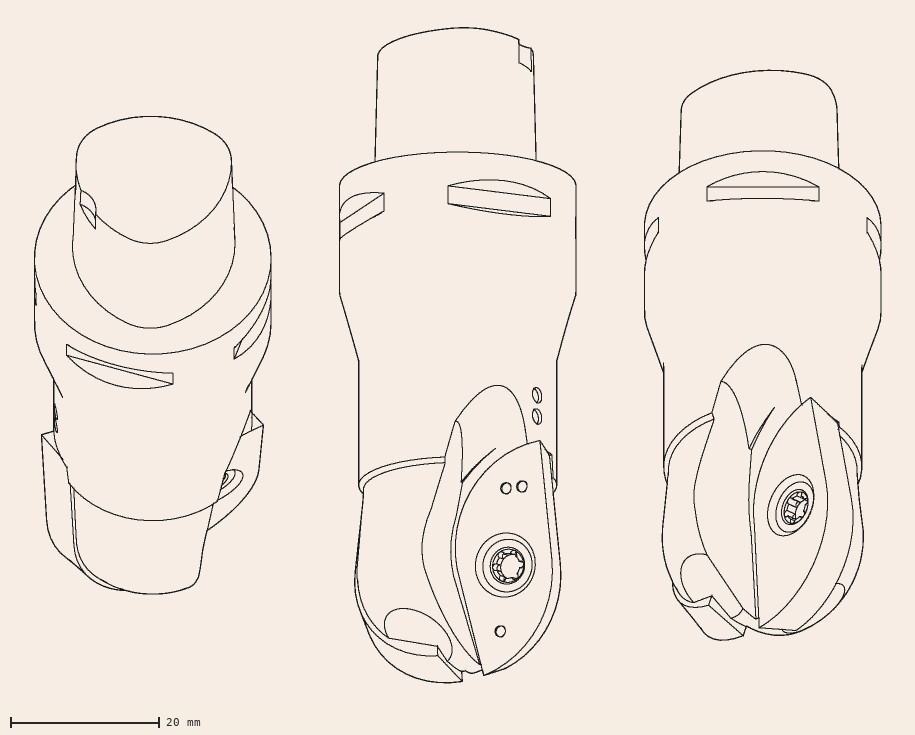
import cadquery as cq
import math


shank_length = 19.0
shank_taper = math.degrees(math.atan(1 / 40))
side_radius = 10.4
lobe_radius = 11.7
lobe_arc_radius = 6.2
keyway_diameter = 7.15
keyway_depth = 3.3
keyway_floor_radius = 9.0

flange_radius = 32.0 / 2
flange_height = 15.0
neck_radius = 26.8 / 2
cone_end_z = -24.5
neck_end_z = -42.2
step_z = -42.8
nose_start_z = -43.3
nose_start_radius = 12.75
ball_start_z = -53.87
ball_start_radius = 13.6
ball_middle = (10.2, -63.6)
nose_end_z = -68.5

groove_count = 4
groove_start_angle = 45.0
groove_z = -6.0
groove_floor_width = 2.5
groove_floor_radius = 14.1
groove_wall_angle = 30.0

tip_z = -69.98
rake_angle = 10.0
insert_thickness = 6.1
flank_angle = 10.5
cutting_radius = 14.75
ball_middle_angle = -45.0
cutting_arc_top = (14.72, 15.3)
pocket_clearance = 0.5

outer_insert_top = (14.1, 31.5)
outer_insert_arc_middle = (4.2, 26.4)
outer_insert_arc_start = (0.95, 15.5)
outer_insert_tip = 3.8
centre_insert_top = (14.2, 29.2)
centre_insert_arc_middle = (5.0, 25.0)
centre_insert_arc_start = (1.1, 15.5)
centre_insert_tip = -0.67

screw_position = (7.95, 15.15)
recess_diameter = 8.7
screw_head_diameter = 7.15
recess_depth = 0.8
socket_mouth_diameter = 5.0
socket_mouth_depth = 0.25
socket_diameter = 4.5
socket_lobes = 6
socket_lobe_diameter = 0.9
socket_core_diameter = 3.4
socket_depth = 1.6
drill_point_depth = 0.9

insert_dot_diameter = 1.5
insert_dot_depth = 0.4
insert_dots = [(8.75, 25.55), (11.07, 25.55), (6.6, 6.25)]
neck_dot_diameter = 2.1
neck_dot_depth = 0.6
neck_dot_x = -3.48
neck_dot_heights = (-31.9, -34.9)

flute_reach = 30.0
flute_outside = 20.0
flute_bottom = -3.0
flute_top = 50.0
floor_arc_end = (1.35, 22.6)
floor_top_corner = (2.55, 27.0)
flute_edge_middle = (7.5, 31.05)
flute_edge_end = (12.4, 33.3)
outer_floor_bottom = 4.55
outer_floor_arc_start = (0.4, 14.4)
outer_floor_arc_middle = (0.3, 18.8)
centre_floor_bottom = -1.5
centre_floor_arc_start = (0.3, 14.4)
centre_floor_arc_middle = (0.6, 18.8)
runout_radius = 6.36
runout_start = (5.0, 23.9, 5.56)
runout_elevation = 55.4
runout_lean = 3.9
runout_length = 40.0

relief_point = (5.66, -0.5, -66.4)
relief_normal = (0.53, -0.26, -0.82)
relief_size = 40.0
relief_depth = 10.0

rake = math.radians(rake_angle)
rake_plane = cq.Plane(
    origin=(0, 0, tip_z),
    xDir=(0, -1, 0),
    normal=(-math.cos(rake), 0, -math.sin(rake)),
)
Z_START = (0, 0, 0)
Z_END = (0, 0, 1)


def to_other_side(shape):
    """Turn a shape half a turn about the tool axis."""
    return shape.rotate(Z_START, Z_END, 180)


def polar(radius, angle):
    return (radius * math.cos(math.radians(angle)), radius * math.sin(math.radians(angle)))


def shank():
    """Three lobes at 90, 210 and 330 degrees joined by tangent long arcs."""
    lobe_offset = lobe_radius - lobe_arc_radius
    reach = side_radius - lobe_arc_radius
    side_offset = (lobe_offset**2 - reach**2) / (2 * reach - lobe_offset)
    side_arc_radius = side_offset + side_radius

    def joint(lobe_angle, side_angle):
        lobe_x, lobe_y = polar(lobe_offset, lobe_angle)
        side_x, side_y = polar(side_offset, side_angle + 180)
        scale = side_arc_radius / (side_arc_radius - lobe_arc_radius)
        return (side_x + (lobe_x - side_x) * scale, side_y + (lobe_y - side_y) * scale)

    outline = cq.Workplane("XY").moveTo(*joint(90, 30))
    for lobe_angle in (90, 210, 330):
        side_angle = lobe_angle + 60
        outline = outline.threePointArc(polar(lobe_radius, lobe_angle), joint(lobe_angle, side_angle))
        outline = outline.threePointArc(polar(side_radius, side_angle), joint(lobe_angle + 120, side_angle))
    solid = outline.close().extrude(shank_length, taper=shank_taper)

    keyway = (
        cq.Workplane("XY", origin=(0, -keyway_floor_radius - keyway_diameter / 2, shank_length))
        .circle(keyway_diameter / 2)
        .extrude(-keyway_depth)
    )
    return solid.cut(keyway)


def turned_body():
    """Flange, cone, neck and rounded nose as one revolved profile."""
    return (
        cq.Workplane("XZ")
        .moveTo(0, 0)
        .lineTo(flange_radius, 0)
        .lineTo(flange_radius, -flange_height)
        .lineTo(neck_radius, cone_end_z)
        .lineTo(neck_radius, neck_end_z)
        .lineTo(nose_start_radius, step_z)
        .lineTo(nose_start_radius, nose_start_z)
        .lineTo(ball_start_radius, ball_start_z)
        .threePointArc(ball_middle, (0, nose_end_z))
        .close()
        .revolve(360, (0, 0, 0), (0, 1, 0))
    )


def gripper_grooves():
    """Flat-bottomed tangential grooves with flared walls around the flange."""
    depth = flange_radius - groove_floor_radius
    half_floor = groove_floor_width / 2
    half_mouth = half_floor + depth * math.tan(math.radians(groove_wall_angle))
    groove = (
        cq.Workplane("XZ")
        .polyline([
            (groove_floor_radius, groove_z - half_floor),
            (flange_radius, groove_z - half_mouth),
            (flange_radius, groove_z + half_mouth),
            (groove_floor_radius, groove_z + half_floor),
        ])
        .close()
        .extrude(flange_radius, both=True)
    )
    grooves = cq.Workplane("XY")
    for index in range(groove_count):
        angle = groove_start_angle + index * 360 / groove_count
        grooves = grooves.add(groove.rotate(Z_START, Z_END, angle))
    return grooves.combine()


def dot(diameter, depth, point, inward):
    """Index dot: a short round hole with a conical end."""
    radius = diameter / 2
    hole = cq.Solid.makeCylinder(radius, depth + radius, point - inward * radius, inward)
    cone = cq.Solid.makeCone(radius, 0, radius, point + inward * depth, inward)
    return cq.Workplane(hole).union(cq.Workplane(cone))


def neck_dots():
    """Index dots pointing at the tool axis."""
    surface_y = -math.sqrt(neck_radius**2 - neck_dot_x**2)
    inward = cq.Vector(-neck_dot_x, -surface_y, 0).normalized()
    dots = cq.Workplane("XY")
    for height in neck_dot_heights:
        surface_point = cq.Vector(neck_dot_x, surface_y, height)
        dots = dots.add(dot(neck_dot_diameter, neck_dot_depth, surface_point, inward))
    return dots.combine()


def flute(floor_bottom, arc_start, arc_middle):
    """Chip space in front of a rake face, with a cylindrical runout into the neck."""

    def floor_line():
        return (
            cq.Workplane(rake_plane)
            .moveTo(flute_outside, flute_bottom)
            .lineTo(floor_bottom, flute_bottom)
            .lineTo(*arc_start)
            .threePointArc(arc_middle, floor_arc_end)
            .lineTo(*floor_top_corner)
        )

    chip_space = (
        floor_line()
        .threePointArc(flute_edge_middle, flute_edge_end)
        .lineTo(flute_outside, flute_edge_end[1])
        .close()
        .extrude(flute_reach)
    )
    floor_top_slope = (floor_top_corner[0] - floor_arc_end[0]) / (floor_top_corner[1] - floor_arc_end[1])
    floor_top_out = floor_top_corner[0] + floor_top_slope * (flute_top - floor_top_corner[1])
    above_floor = (
        floor_line()
        .lineTo(floor_top_out, flute_top)
        .lineTo(flute_outside, flute_top)
        .close()
        .extrude(flute_reach)
    )
    elevation = math.radians(runout_elevation)
    lean = math.radians(runout_lean)
    start = rake_plane.toWorldCoords(runout_start)
    axis_end = rake_plane.toWorldCoords((
        runout_start[0] + math.cos(elevation) * math.cos(lean),
        runout_start[1] + math.sin(elevation) * math.cos(lean),
        runout_start[2] + math.sin(lean),
    ))
    axis = axis_end - start
    runout = cq.Workplane(
        cq.Solid.makeCylinder(runout_radius, runout_length, start - axis * (runout_length / 2), axis)
    )
    return chip_space.union(runout.intersect(above_floor))


def relief_flat():
    """Block that trims the nose to a flat behind an insert."""
    plane = cq.Plane(origin=relief_point, normal=relief_normal)
    return cq.Workplane(plane).rect(relief_size, relief_size).extrude(relief_depth)


def insert_blank(top, arc_middle, arc_start, tip):
    """Ball-nose insert with flanks that draw in behind the cutting edge."""
    tip_height = cutting_radius - math.sqrt(cutting_radius**2 - tip**2)
    ball_x, ball_height = polar(cutting_radius, ball_middle_angle)
    return (
        cq.Workplane(rake_plane)
        .moveTo(*top)
        .lineTo(*cutting_arc_top)
        .threePointArc((ball_x, cutting_radius + ball_height), (tip, tip_height))
        .lineTo(*arc_start)
        .threePointArc(arc_middle, top)
        .close()
        .extrude(-insert_thickness, taper=flank_angle)
    )


def pocket(blank, outward):
    """The space of an insert, opened through the outside of the body."""
    return blank.union(blank.translate((0, outward * pocket_clearance, 0)))


def screw_recess():
    """Countersink down to the screw head, with a lobed socket in the head."""
    face = cq.Workplane(rake_plane).center(*screw_position)
    countersink = (
        face.circle(recess_diameter / 2)
        .workplane(offset=-recess_depth)
        .circle(screw_head_diameter / 2)
        .loft(combine=True)
    )
    head = face.workplane(offset=-recess_depth)
    mouth = (
        head.circle(socket_mouth_diameter / 2)
        .workplane(offset=-socket_mouth_depth)
        .circle(socket_diameter / 2)
        .loft(combine=True)
    )
    socket_top = head.workplane(offset=-socket_mouth_depth)
    socket = socket_top.circle(socket_core_diameter / 2).extrude(-socket_depth)
    lobe_circle = (socket_diameter - socket_lobe_diameter) / 2
    lobes = (
        socket_top.polarArray(lobe_circle, 0, 360, socket_lobes)
        .circle(socket_lobe_diameter / 2)
        .extrude(-socket_depth)
    )
    floor = rake_plane.toWorldCoords((*screw_position, -recess_depth - socket_mouth_depth - socket_depth))
    drill_point = cq.Solid.makeCone(socket_core_diameter / 2, 0, drill_point_depth, floor, -rake_plane.zDir)
    return countersink.union(mouth).union(socket).union(lobes).union(cq.Workplane(drill_point))


def insert_index_dots():
    dots = cq.Workplane("XY")
    for position in insert_dots:
        dots = dots.add(
            dot(insert_dot_diameter, insert_dot_depth, rake_plane.toWorldCoords(position), -rake_plane.zDir)
        )
    return dots.combine()


outer_blank = insert_blank(
    outer_insert_top, outer_insert_arc_middle, outer_insert_arc_start, outer_insert_tip
)
centre_blank = to_other_side(
    insert_blank(centre_insert_top, centre_insert_arc_middle, centre_insert_arc_start, centre_insert_tip)
)
outer_insert = outer_blank.cut(screw_recess()).cut(insert_index_dots())
centre_insert = centre_blank.cut(to_other_side(screw_recess()))

outer_flute = flute(outer_floor_bottom, outer_floor_arc_start, outer_floor_arc_middle)
centre_flute = to_other_side(flute(centre_floor_bottom, centre_floor_arc_start, centre_floor_arc_middle))
body = (
    turned_body()
    .union(shank())
    .cut(gripper_grooves())
    .cut(neck_dots())
    .cut(outer_flute)
    .cut(centre_flute)
    .cut(relief_flat())
    .cut(to_other_side(relief_flat()))
    .cut(pocket(outer_blank, -1))
    .cut(pocket(centre_blank, 1))
)

result = cq.Compound.makeCompound([
    *body.solids().vals(),
    *outer_insert.solids().vals(),
    *centre_insert.solids().vals(),
])